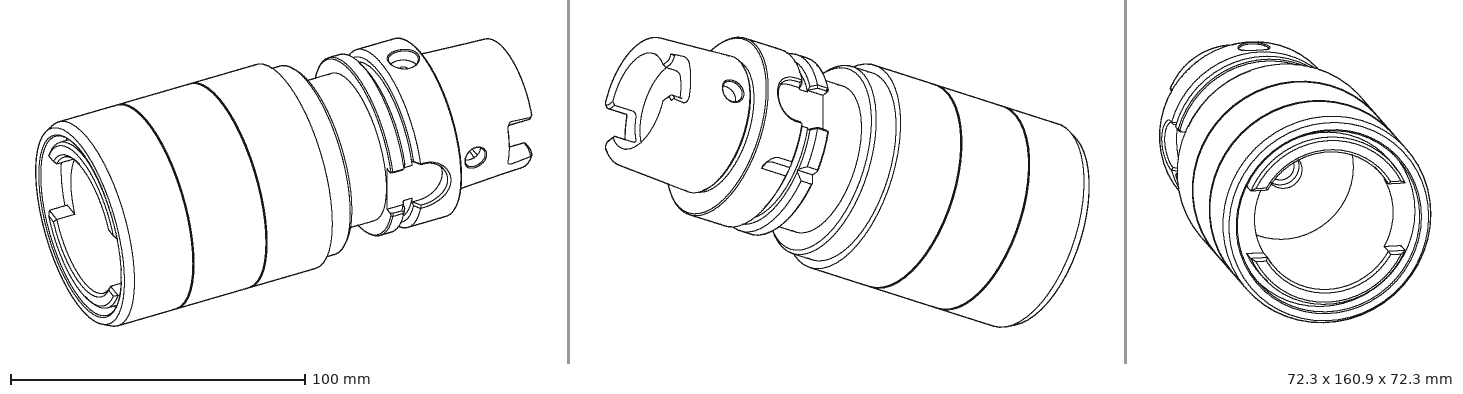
import cadquery as cq
import math


shank_length = 31.8
gauge_radius = 24.0
gauge_y = 6.3
taper_slope = 0.05
shank_end_fillet = 1.2
relief_start_y = 2.2
relief_corner_y = 1.4
relief_radius = 23.4
bore_mouth_radius = 17.0
bore_mouth_length = 12.0
bore_chamber_radius = 19.5

drive_slot_width = 12.0
drive_slot_depths = {-1: 6.3, 1: 10.0}
drive_slot_round = 3.2
drive_slot_floor_fillet = 1.7
drive_slot_mouth_chamfer = 1.0
drive_slot_mouth_angle = 45.0
drive_slot_inner_x = 12.0

cross_hole_diameter = 7.7
cross_hole_y = 8.8
cross_hole_chamfer = 0.4

flange_radius = 31.5
flange_length = 26.0
flange_chamfer = 0.5
groove_start_y = -15.0
groove_end_y = -21.3
groove_bevel_length = 1.5
groove_shoulder_radius = 29.2
groove_radius = 27.4

keyway_widths = {-1: 15.2, 1: 17.2}
keyway_end_y = -5.1
keyway_floor_x = 26.5
keyway_edge_chamfer = 0.85
notch_floor_x = -20.2
notch_wall_z = -20.4
notch_arc_y = -10.1
notch_arc_radius = 5.0

chip_diameter = 10.2
chip_chamfer = 0.4
chip_y = -7.0
chip_depth = 4.6
chip_centre_diameter = 2.6
chip_centre_tip_diameter = 0.8
chip_centre_depth = 1.0

neck_radius = 26.1
collar_radius = 33.4
collar_back_y = -42.0
collar_chamfer = 1.2
body_radius = 36.15
body_back_y = -51.3
overall_length = 160.9
front_y = shank_length - overall_length
front_chamfer_radial = 1.45
front_chamfer_length = 3.1
seam_positions_y = (-76.1, -103.7)
seam_width = 0.4
seam_depth = 0.2

recess_radius = 32.2
recess_edge_chamfer = 0.5
recess_depth = 8.2
socket_radius = 24.1
socket_floor_y = -56.0
coolant_radius = 4.55
coolant_counterbore_radius = 6.25
coolant_counterbore_depth = 5.0
claw_outer_radius = 29.3
claw_end_z = 11.8
claw_chamfer = 1.0
claw_height = 7.8

edge_margin = 0.2
overcut = 1.0


def taper_radius(y):
    return gauge_radius - taper_slope * (y - gauge_y)


def revolve_about_y(points):
    """Revolve a closed (radius, y) profile about the Y axis."""
    return cq.Workplane("XY").polyline(points).close().revolve(360, (0, 0, 0), (0, 1, 0))


def cylinder_y(radius, start_y, end_y):
    return cq.Workplane("XZ", origin=(0, start_y, 0)).circle(radius).extrude(start_y - end_y)


def outer_body():
    body = revolve_about_y([
        (0, shank_length),
        (taper_radius(shank_length), shank_length),
        (taper_radius(relief_start_y), relief_start_y),
        (relief_radius, relief_corner_y),
        (relief_radius, 0),
        (flange_radius - flange_chamfer, 0),
        (flange_radius, -flange_chamfer),
        (flange_radius, groove_start_y),
        (groove_shoulder_radius, groove_start_y - groove_bevel_length),
        (groove_radius, groove_start_y - groove_bevel_length),
        (groove_radius, groove_end_y + groove_bevel_length),
        (groove_shoulder_radius, groove_end_y + groove_bevel_length),
        (flange_radius, groove_end_y),
        (flange_radius, flange_chamfer - flange_length),
        (flange_radius - flange_chamfer, -flange_length),
        (neck_radius, -flange_length),
        (neck_radius, collar_back_y),
        (collar_radius - collar_chamfer, collar_back_y),
        (collar_radius, collar_back_y - collar_chamfer),
        (collar_radius, body_back_y),
        (body_radius, body_back_y),
        (body_radius, front_y + front_chamfer_length),
        (body_radius - front_chamfer_radial, front_y),
        (0, front_y),
    ])
    return body.faces(">Y").edges().fillet(shank_end_fillet)


def seam_groove(y):
    half = seam_width / 2
    return revolve_about_y([
        (body_radius + seam_depth, y + half),
        (body_radius - seam_depth, y + half),
        (body_radius - seam_depth, y - half),
        (body_radius + seam_depth, y - half),
    ])


def bores():
    """Shank bore, coolant bore with counterbore, socket and front recess."""
    recess_floor_y = front_y + recess_depth
    return revolve_about_y([
        (0, shank_length),
        (bore_mouth_radius, shank_length),
        (bore_mouth_radius, shank_length - bore_mouth_length),
        (bore_chamber_radius, shank_length - bore_mouth_length),
        (bore_chamber_radius, 0),
        (coolant_radius, 0),
        (coolant_radius, socket_floor_y + coolant_counterbore_depth),
        (coolant_counterbore_radius, socket_floor_y + coolant_counterbore_depth),
        (coolant_counterbore_radius, socket_floor_y),
        (socket_radius, socket_floor_y),
        (socket_radius, recess_floor_y),
        (recess_radius - recess_edge_chamfer, recess_floor_y),
        (recess_radius - recess_edge_chamfer, front_y + recess_edge_chamfer),
        (recess_radius, front_y),
        (0, front_y),
    ])


def claws():
    """Two crescents standing on the recess floor, chamfered on their front edges."""
    floor_y = front_y + recess_depth
    ring = cylinder_y(claw_outer_radius, floor_y, floor_y - claw_height)
    ring = ring.cut(cylinder_y(socket_radius, floor_y, floor_y - claw_height))
    gap = cq.Workplane("XY", origin=(0, floor_y, 0)).box(
        2 * claw_outer_radius, 2 * claw_height, 2 * claw_end_z)
    return ring.cut(gap).faces("<Y").chamfer(claw_chamfer)


def drive_slot_section(tangent_x, growth):
    """Drive slot outline at the shank end, offset outward from the slot by growth."""
    wall = drive_slot_width / 2 + growth
    flare = drive_slot_width / 2 + drive_slot_round
    round_radius = drive_slot_round - growth
    round_start_x = tangent_x - drive_slot_round
    outer_x = gauge_radius + drive_slot_round
    return (
        cq.Workplane("XZ", origin=(0, shank_length, 0))
        .moveTo(drive_slot_inner_x, -wall)
        .lineTo(round_start_x, -wall)
        .radiusArc((tangent_x - growth, -flare), round_radius)
        .lineTo(outer_x, -flare)
        .lineTo(outer_x, flare)
        .lineTo(tangent_x - growth, flare)
        .radiusArc((round_start_x, wall), round_radius)
        .lineTo(drive_slot_inner_x, wall)
        .close()
    )


def drive_slot(side):
    """Slot in the shank end on one X side, flaring out through rounds to the taper."""
    flare = drive_slot_width / 2 + drive_slot_round
    depth = drive_slot_depths[side]
    tangent_x = math.sqrt(taper_radius(shank_length - depth) ** 2 - flare ** 2)
    slot = drive_slot_section(tangent_x, 0).extrude(depth)
    floor_y = shank_length - depth
    walls_and_rounds = cq.selectors.BoxSelector(
        (drive_slot_inner_x + edge_margin, floor_y - edge_margin, -flare),
        (tangent_x, floor_y + edge_margin, flare),
    )
    slot = slot.edges(walls_and_rounds).fillet(drive_slot_floor_fillet)
    mouth = drive_slot_section(tangent_x, drive_slot_mouth_chamfer)
    slot = slot.union(mouth.extrude(drive_slot_mouth_chamfer, taper=drive_slot_mouth_angle))
    return slot if side > 0 else slot.mirror("YZ")


def cross_hole():
    """Hole along X through both shank walls."""
    return cq.Workplane("YZ").center(cross_hole_y, 0).circle(cross_hole_diameter / 2).extrude(
        gauge_radius + overcut, both=True)


def keyway(side):
    """Round-ended flat-bottomed keyway through the flange on one X side."""
    radius = keyway_widths[side] / 2
    centre_y = keyway_end_y - radius
    slot = (
        cq.Workplane("YZ", origin=(keyway_floor_x, 0, 0))
        .moveTo(-flange_length, radius)
        .lineTo(centre_y, radius)
        .threePointArc((keyway_end_y, 0), (centre_y, -radius))
        .lineTo(-flange_length, -radius)
        .close()
        .extrude(flange_radius)
    )
    return slot if side > 0 else slot.mirror("YZ")


def orientation_notch():
    """Corner notch in the -X, -Z quarter of the flange, rounded toward the shank."""
    return (
        cq.Workplane("YZ", origin=(notch_floor_x, 0, 0))
        .moveTo(-flange_length, notch_wall_z)
        .lineTo(notch_arc_y, notch_wall_z)
        .radiusArc((notch_arc_y + notch_arc_radius, notch_wall_z - notch_arc_radius), notch_arc_radius)
        .lineTo(notch_arc_y + notch_arc_radius, -flange_radius)
        .lineTo(-flange_length, -flange_radius)
        .close()
        .extrude(-flange_radius)
    )


def chip_pocket():
    """Blind pocket in the top of the flange with a conical centre mark in its floor."""
    floor_z = flange_radius - chip_depth
    pocket = (
        cq.Workplane("XY", origin=(0, chip_y, floor_z))
        .circle(chip_diameter / 2)
        .extrude(chip_depth + overcut)
    )
    centre = (
        cq.Workplane("XY", origin=(0, chip_y, floor_z))
        .circle(chip_centre_diameter / 2)
        .workplane(offset=-chip_centre_depth)
        .circle(chip_centre_tip_diameter / 2)
        .loft()
    )
    return pocket.union(centre)


def chamfer_edges_within(part, corner, opposite_corner, size):
    """Chamfer every edge that lies entirely inside the given box."""
    box = cq.selectors.BoxSelector(corner, opposite_corner, boundingbox=True)
    return part.edges(box).chamfer(size)


def chamfer_keyway(part, side):
    reach = keyway_widths[side] / 2 + edge_margin
    return chamfer_edges_within(
        part,
        (side * (keyway_floor_x + edge_margin), -flange_length - edge_margin, -reach),
        (side * (flange_radius + edge_margin), keyway_end_y + edge_margin, reach),
        keyway_edge_chamfer,
    )


def chamfer_cross_hole(part, side):
    reach = cross_hole_diameter / 2 + edge_margin
    return chamfer_edges_within(
        part,
        (side * (bore_chamber_radius + edge_margin), cross_hole_y - reach, -reach),
        (side * (gauge_radius + overcut), cross_hole_y + reach, reach),
        cross_hole_chamfer,
    )


def chamfer_chip_pocket(part):
    reach = chip_diameter / 2 + edge_margin
    return chamfer_edges_within(
        part,
        (-reach, chip_y - reach, flange_radius - overcut),
        (reach, chip_y + reach, flange_radius + edge_margin),
        chip_chamfer,
    )


result = outer_body().cut(bores()).union(claws())
for seam_y in seam_positions_y:
    result = result.cut(seam_groove(seam_y))
result = result.cut(cross_hole()).cut(orientation_notch()).cut(chip_pocket())
for x_side in (-1, 1):
    result = result.cut(drive_slot(x_side)).cut(keyway(x_side))
    result = chamfer_keyway(result, x_side)
    result = chamfer_cross_hole(result, x_side)
result = chamfer_chip_pocket(result)